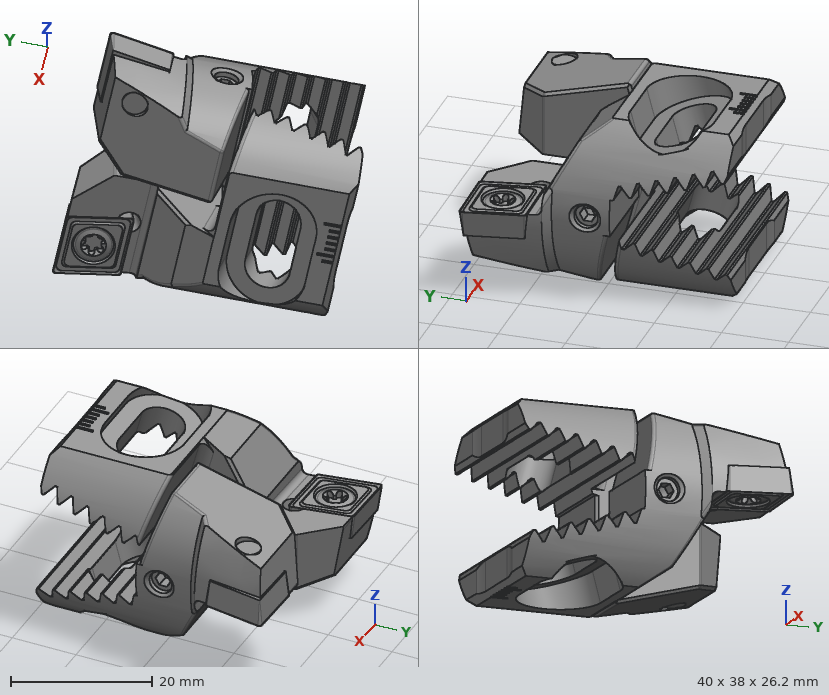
import cadquery as cq
import math


HEIGHT = 26.2
HALF_HEIGHT = HEIGHT / 2
BODY_RADIUS = 16.5
JAW_SHIFT = 1.6
FLARE_RADIUS = 17.65
NOSE_RADIUS = 19.15
SHOULDER_Y = 26.5
NOSE_Y = 37.8
FLARE_CHAMFER = FLARE_RADIUS - BODY_RADIUS

INNER_X = -2.35
BACK_Y = 16.75
LEDGE_Y = 17.15
LEDGE_Z = -2.4
TAPER_ANGLE = 15.0
TAPER_TAN = math.tan(math.radians(TAPER_ANGLE))
NOSE_DROP = 7.85
NOSE_RELIEF = 1.05
CORNER_CUT = 5.1
EDGE_CHAMFER = 0.45
EDGE_FILLET = 0.5
ROOT_FILLET = 1.85
RAMP_START_Y = 18.4
RAMP_KNEE = (22.4, 10.3)
RAMP_END_Z = 2.9
FLOOR_FILLET = 0.9

JAW_FRONT_Y = 18.55
JAW_FRONT_CHAMFER = 0.2
JAW_FOOT_Z = 3.95
JAW_END_CHAMFER = 1.1
TOOTH_DEPTH = 1.75
TOOTH_FLAT = 0.3
TOOTH_COUNT = 6
TOOTH_ROW_LENGTH = 16.5
TOOTH_PITCH = TOOTH_ROW_LENGTH / TOOTH_COUNT
FIRST_VALLEY = (15.55, 5.3)
END_Z = 8.5

SLOT_X = -3.35
SLOT_Y = 10.45
SLOT_STRAIGHT = 7.5
SLOT_DIAMETER = 6.65
SEAT_DIAMETER = 12.0
SEAT_DEPTH = 3.1
RECESS_X = -0.75
RECESS_WIDTH = 13.35
RECESS_FLOOR_WIDTH = 8.1
RECESS_DEPTH = 0.3
TICK_SPACING = 1.0
TICK_WIDTH = 0.3
TICK_DEPTH = 0.1
TICK_START_Y = 1.1
SHORT_TICK = 1.5
LONG_TICK = 2.5
FIRST_TICK_X = -3.0
LONG_TICKS = (1, 6)
TICK_COUNT = 7

RAKE_ANGLE = 2.0
TIP_X = -20.1
TIP_Y = 38.0
INSERT_WIDTH = 9.5
INSERT_THICKNESS = 3.95
INSERT_LEAN = 10.0
INSERT_RELIEF = 7.0
INSERT_CORNER = 0.4
INSERT_FOOT_CORNER = 0.05
EDGE_LAND = 0.1
GROOVE_START = 0.3
GROOVE_END = 0.95
GROOVE_DEPTH = 0.25
ISLAND_INSET = 1.25
ISLAND_CORNER = 0.8
INSERT_HOLE_RADIUS = 2.2
SEAT_CONE_RADIUS = 3.1
SEAT_CONE_DEPTH = 1.4
HEAD_BELOW = 0.35
CROWN_RADIUS = 2.55
CROWN_BELOW = 0.1
SOCKET_MOUTH_RADIUS = 1.8
SOCKET_MOUTH_DEPTH = 0.6
SHANK_RADIUS = 1.85
SCREW_LENGTH = 8.7
TORX_RADIUS = 1.15
TORX_LOBES = 6
TORX_LOBE_OFFSET = 1.3
TORX_LOBE_RADIUS = 0.45
TORX_DEPTH = 1.2
CORNER_RELIEF_X = 4.9
CORNER_RELIEF_Y = -4.1
CORNER_RELIEF_RADIUS = 1.65
CORNER_RELIEF_TIP_RADIUS = 0.8

SET_SCREW_Y = 20.4
SET_SCREW_RADIUS = 1.75
SET_SCREW_OUTER_X = -15.2
SET_SCREW_INNER_X = -1.9
SET_SCREW_CHAMFER = 0.25
MOUTH_RADIUS = 2.3
HEX_SIDES = 6
HEX_FLATS = 2.05
HEX_DEPTH = 2.0
HEX_POINT = 0.7

REACH = 24.0


def side_prism(points, x_start, x_end):
    """Extrude a closed (Y, Z) outline along X."""
    return cq.Workplane("YZ", origin=(x_start, 0, 0)).polyline(points).close().extrude(x_end - x_start)


def near(x, y, z):
    """Selector of the edge nearest to a point."""
    return cq.selectors.NearestToPointSelector((x, y, z))


def tooth_point(along, depth):
    """(Y, Z) of a point of the tooth row; depth is measured from the valleys towards the opening."""
    angle = math.radians(TAPER_ANGLE)
    y = FIRST_VALLEY[0] - along * math.cos(angle) - depth * math.sin(angle)
    z = FIRST_VALLEY[1] + along * math.sin(angle) - depth * math.cos(angle)
    return (y, z)


def tooth_row():
    """Tooth outline from the first tip to the last tip, at the open end of the jaw."""
    half_flat = TOOTH_FLAT / 2
    points = [tooth_point(half_flat - TOOTH_PITCH / 2, TOOTH_DEPTH)]
    for tooth in range(TOOTH_COUNT):
        valley = tooth * TOOTH_PITCH
        tip = valley + TOOTH_PITCH / 2
        points += [
            tooth_point(valley - half_flat, 0),
            tooth_point(valley + half_flat, 0),
            tooth_point(tip - half_flat, TOOTH_DEPTH),
            tooth_point(tip + half_flat, TOOTH_DEPTH),
        ]
    return points


def tip_line_z(y):
    """Height of the line through the tooth tips."""
    tip_y, tip_z = tooth_point(0, TOOTH_DEPTH)
    return tip_z + (tip_y - y) * TAPER_TAN


END_OUTLINE = [(0, END_Z), (0, HALF_HEIGHT - JAW_END_CHAMFER), (JAW_END_CHAMFER, HALF_HEIGHT)]


def jaw_front(z):
    """Y of the slanted jaw front at a height."""
    return JAW_FRONT_Y - (HALF_HEIGHT - z) * TAPER_TAN


def free_jaw():
    """Part of the jaw that reaches across the other block's side."""
    teeth = tooth_row()
    outline = teeth + END_OUTLINE + [(REACH, HALF_HEIGHT), (REACH, teeth[0][1])]
    front_space = [
        (JAW_FRONT_Y - JAW_FRONT_CHAMFER, HALF_HEIGHT),
        (jaw_front(HALF_HEIGHT - JAW_FRONT_CHAMFER), HALF_HEIGHT - JAW_FRONT_CHAMFER),
        (jaw_front(0), 0),
        (REACH, 0),
        (REACH, HALF_HEIGHT),
    ]
    jaw = side_prism(outline, INNER_X, BODY_RADIUS).cut(side_prism(front_space, INNER_X, BODY_RADIUS))
    rounding = cq.Workplane("XZ", origin=(-JAW_SHIFT, 0, 0)).circle(BODY_RADIUS).extrude(-REACH)
    jaw = jaw.intersect(rounding)
    mid_z = (HALF_HEIGHT + JAW_FOOT_Z) / 2
    return jaw.edges(near(round_x(mid_z) - JAW_SHIFT, jaw_front(mid_z), mid_z)).fillet(EDGE_FILLET)


def revolved_outside():
    """Round outside of body and nose, turned about the Y axis."""
    return (
        cq.Workplane("XY")
        .polyline([
            (0, 0),
            (BODY_RADIUS, 0),
            (BODY_RADIUS, SHOULDER_Y - FLARE_CHAMFER),
            (FLARE_RADIUS, SHOULDER_Y),
            (NOSE_RADIUS, NOSE_Y),
            (0, NOSE_Y),
        ])
        .close()
        .revolve(360, (0, 0, 0), (0, 1, 0))
    )


def rake_z(x):
    """Height of the rake plane above the XY plane."""
    return (x - TIP_X) * math.tan(math.radians(RAKE_ANGLE))


RAMP_SLOPE = (RAMP_KNEE[1] - RAMP_END_Z) / (SHOULDER_Y - RAMP_KNEE[0])
FLARE_FOOT_Z = RAMP_END_Z + FLARE_CHAMFER * RAMP_SLOPE
NOSE_FOOT_Y = NOSE_Y - NOSE_RELIEF
HEEL_Z = (-NOSE_DROP + (LEDGE_Y - NOSE_FOOT_Y) * TAPER_TAN + LEDGE_Z * TAPER_TAN**2) / (1 + TAPER_TAN**2)
FLARE_HEEL_Z = -NOSE_DROP - (NOSE_FOOT_Y - SHOULDER_Y + FLARE_CHAMFER) * TAPER_TAN
HEEL_Y = LEDGE_Y + (LEDGE_Z - HEEL_Z) * TAPER_TAN


def block():
    """Nose block together with the part of the jaw that grows out of it."""
    outline = [(BACK_Y, tip_line_z(BACK_Y))] + tooth_row() + END_OUTLINE + [
        (RAMP_START_Y, HALF_HEIGHT),
        RAMP_KNEE,
        (SHOULDER_Y, RAMP_END_Z),
        (NOSE_Y, RAMP_END_Z),
        (NOSE_Y, 0),
        (NOSE_FOOT_Y, -NOSE_DROP),
        (HEEL_Y, HEEL_Z),
        (LEDGE_Y, LEDGE_Z),
        (BACK_Y, LEDGE_Z),
    ]
    solid = side_prism(outline, TIP_X, INNER_X)
    corner = (
        cq.Workplane("XY")
        .polyline([(INNER_X, NOSE_Y), (INNER_X - CORNER_CUT, NOSE_Y), (INNER_X, NOSE_Y - CORNER_CUT)])
        .close()
        .extrude(REACH, both=True)
    )
    solid = solid.cut(corner).cut(rake_space())
    solid = solid.edges(near(INNER_X, NOSE_Y - CORNER_CUT, LEDGE_Z)).fillet(EDGE_CHAMFER)
    heel_mid = ((HEEL_Y + NOSE_FOOT_Y) / 2, (HEEL_Z - NOSE_DROP) / 2)
    back_mid = ((HEEL_Y + LEDGE_Y) / 2, (HEEL_Z + LEDGE_Z) / 2)
    ramp_mid = ((RAMP_KNEE[0] + SHOULDER_Y) / 2, (RAMP_KNEE[1] + RAMP_END_Z) / 2)
    for y, z in (heel_mid, back_mid, ramp_mid, (BACK_Y, 0)):
        solid = solid.edges(near(INNER_X, y, z)).chamfer(EDGE_CHAMFER)
    solid = solid.intersect(revolved_outside())
    heel_half_width = round_x(HEEL_Z)
    rounded_edges = [
        round_edge(solid, RAMP_START_Y, HALF_HEIGHT, *RAMP_KNEE),
        round_edge(solid, *RAMP_KNEE, SHOULDER_Y - FLARE_CHAMFER, FLARE_FOOT_Z),
        round_edge(solid, SHOULDER_Y - FLARE_CHAMFER, FLARE_FOOT_Z, SHOULDER_Y, RAMP_END_Z),
        round_edge(solid, LEDGE_Y, LEDGE_Z, HEEL_Y, HEEL_Z),
        round_edge(solid, HEEL_Y, HEEL_Z, SHOULDER_Y - FLARE_CHAMFER, FLARE_HEEL_Z),
        round_edge(solid, SHOULDER_Y - FLARE_CHAMFER, FLARE_HEEL_Z, SHOULDER_Y, FLARE_HEEL_Z),
        solid.edges(near((INNER_X - heel_half_width) / 2, HEEL_Y, HEEL_Z)).val(),
    ]
    return solid.newObject(rounded_edges).fillet(EDGE_FILLET)


def round_x(z):
    """Distance of the round outside from the YZ plane at a height."""
    return math.sqrt(BODY_RADIUS**2 - z**2)


def round_edge(solid, y_start, z_start, y_end, z_end):
    """Edge on the round outside whose side outline runs between two points."""
    z = (z_start + z_end) / 2
    return solid.edges(near(-round_x(z), (y_start + y_end) / 2, z)).val()


def rake_space():
    """Space above the rake plane, ending at the shoulder with a filleted foot."""
    outer_x = -REACH
    space = (
        cq.Workplane("XZ", origin=(0, SHOULDER_Y, 0))
        .polyline([(outer_x, rake_z(outer_x)), (0, rake_z(0)), (0, REACH), (outer_x, REACH)])
        .close()
        .extrude(-REACH)
    )
    return space.edges(near(outer_x / 2, SHOULDER_Y, rake_z(outer_x / 2))).fillet(FLOOR_FILLET)


def rake_plane(depth=0.0):
    """Plane on the insert face, centred on the insert; depth goes down along the screw."""
    side_shift = INSERT_WIDTH / 2 * math.tan(math.radians(INSERT_LEAN))
    half_edge = INSERT_WIDTH / 2 / math.cos(math.radians(INSERT_LEAN))
    angle = math.radians(RAKE_ANGLE)
    along = side_shift + half_edge
    return cq.Plane(
        origin=(
            TIP_X + along * math.cos(angle) + depth * math.sin(angle),
            TIP_Y - INSERT_WIDTH / 2,
            along * math.sin(angle) - depth * math.cos(angle),
        ),
        xDir=(math.cos(angle), 0, math.sin(angle)),
        normal=(-math.sin(angle), 0, math.cos(angle)),
    )


def rhombus(inset, corner):
    """Insert outline moved inwards by inset, with rounded corners."""
    half_width = INSERT_WIDTH / 2 - inset
    lean = math.radians(INSERT_LEAN)
    shift = half_width * math.tan(lean)
    half_edge = half_width / math.cos(lean)
    corners = [
        (-shift - half_edge, half_width),
        (-shift + half_edge, half_width),
        (shift + half_edge, -half_width),
        (shift - half_edge, -half_width),
    ]
    return cq.Sketch().polygon(corners + corners[:1]).vertices().fillet(corner)


def rhombus_loft(upper, upper_depth, lower, lower_depth):
    """Solid between two rhombic outlines at two depths below the insert face."""
    drop = lower_depth - upper_depth
    return (
        cq.Workplane(rake_plane(upper_depth))
        .placeSketch(upper, lower.moved(cq.Location(cq.Vector(0, 0, -drop))))
        .loft()
    )


def round_cutter(top_radius, bottom_radius, depth_start, depth_end):
    """Cone or cylinder on the screw axis between two depths."""
    return (
        cq.Workplane(rake_plane(depth_start))
        .circle(top_radius)
        .workplane(offset=depth_start - depth_end)
        .circle(bottom_radius)
        .loft()
    )


def insert_blank():
    """Rhombic insert with relief on all sides."""
    relief = INSERT_THICKNESS * math.tan(math.radians(INSERT_RELIEF))
    return rhombus_loft(
        rhombus(0, INSERT_CORNER), 0, rhombus(relief, INSERT_FOOT_CORNER), INSERT_THICKNESS
    )


def chip_groove():
    """Ring groove inside the cutting edges, around a flat island."""
    pan = rhombus_loft(
        rhombus(EDGE_LAND, INSERT_CORNER), 0, rhombus(GROOVE_START, ISLAND_CORNER), GROOVE_DEPTH
    )
    island = rhombus_loft(
        rhombus(ISLAND_INSET, ISLAND_CORNER), 0, rhombus(GROOVE_END, ISLAND_CORNER), GROOVE_DEPTH
    )
    return pan.cut(island)


def cutting_insert():
    """Insert with chip groove and a conical seat for the screw."""
    hole = round_cutter(INSERT_HOLE_RADIUS, INSERT_HOLE_RADIUS, 0, INSERT_THICKNESS)
    seat = round_cutter(SEAT_CONE_RADIUS, INSERT_HOLE_RADIUS, 0, SEAT_CONE_DEPTH)
    return insert_blank().cut(chip_groove()).cut(hole).cut(seat)


def insert_screw():
    """Clamping screw with a six-lobed socket."""
    slope = (SEAT_CONE_RADIUS - INSERT_HOLE_RADIUS) / SEAT_CONE_DEPTH
    head_radius = SEAT_CONE_RADIUS - slope * HEAD_BELOW
    head = round_cutter(head_radius, INSERT_HOLE_RADIUS, HEAD_BELOW, SEAT_CONE_DEPTH)
    crown = round_cutter(SOCKET_MOUTH_RADIUS, CROWN_RADIUS, CROWN_BELOW, HEAD_BELOW)
    shank = round_cutter(SHANK_RADIUS, SHANK_RADIUS, SEAT_CONE_DEPTH, SCREW_LENGTH)
    socket_end = CROWN_BELOW + TORX_DEPTH
    mouth = round_cutter(SOCKET_MOUTH_RADIUS, TORX_RADIUS, CROWN_BELOW, CROWN_BELOW + SOCKET_MOUTH_DEPTH)
    socket = round_cutter(TORX_RADIUS, TORX_RADIUS, CROWN_BELOW, socket_end)
    lobes = (
        cq.Workplane(rake_plane(CROWN_BELOW))
        .polarArray(TORX_LOBE_OFFSET, 0, 360, TORX_LOBES)
        .circle(TORX_LOBE_RADIUS)
        .extrude(-TORX_DEPTH)
    )
    return head.union(crown).union(shank).cut(mouth).cut(socket).cut(lobes)


def insert_pocket():
    """Insert seat with its corner relief and threaded hole."""
    pocket = insert_blank()
    relief = (
        cq.Workplane(rake_plane())
        .center(CORNER_RELIEF_X, CORNER_RELIEF_Y)
        .circle(CORNER_RELIEF_RADIUS)
        .workplane(offset=-INSERT_THICKNESS)
        .circle(CORNER_RELIEF_TIP_RADIUS)
        .loft()
    )
    thread = round_cutter(SHANK_RADIUS, SHANK_RADIUS, 0, REACH)
    return pocket.union(relief).union(thread)


def jaw_slot():
    """Counterbored slot square to the tooth row."""
    angle = math.radians(TAPER_ANGLE)
    plane = cq.Plane(
        origin=(SLOT_X, SLOT_Y, HALF_HEIGHT), xDir=(1, 0, 0), normal=(0, math.sin(angle), math.cos(angle))
    )
    seat = (
        cq.Workplane(plane)
        .workplane(offset=SEAT_DEPTH)
        .slot2D(SLOT_STRAIGHT + SEAT_DIAMETER, SEAT_DIAMETER)
        .extrude(-2 * SEAT_DEPTH)
    )
    through = cq.Workplane(plane).slot2D(SLOT_STRAIGHT + SLOT_DIAMETER, SLOT_DIAMETER).extrude(-HALF_HEIGHT)
    return seat.union(through)


def end_recess():
    """Shallow recess in the jaw end whose floor runs out in arcs on both sides."""
    half = RECESS_WIDTH / 2
    flat = RECESS_FLOOR_WIDTH / 2
    run = half - flat
    radius = (run**2 + RECESS_DEPTH**2) / (2 * RECESS_DEPTH)
    mid_x = radius * math.sin(math.asin(run / radius) / 2)
    mid_y = RECESS_DEPTH - radius + math.sqrt(radius**2 - mid_x**2)
    return (
        cq.Workplane("XY", origin=(RECESS_X, 0, 0))
        .moveTo(-half, 0)
        .threePointArc((-flat - mid_x, mid_y), (-flat, RECESS_DEPTH))
        .lineTo(flat, RECESS_DEPTH)
        .threePointArc((flat + mid_x, mid_y), (half, 0))
        .close()
        .extrude(REACH)
    )


def graduation():
    """Engraved scale ticks on the flat outer face."""
    ticks = cq.Workplane("XY")
    for tick in range(TICK_COUNT):
        length = LONG_TICK if tick in LONG_TICKS else SHORT_TICK
        ticks = ticks.union(
            cq.Workplane("XY", origin=(FIRST_TICK_X + tick * TICK_SPACING, TICK_START_Y, HALF_HEIGHT))
            .box(TICK_WIDTH, length, 2 * TICK_DEPTH, centered=(True, False, True))
        )
    return ticks


def set_screw_hole():
    """Hole through the block with a conical mouth."""
    depth = MOUTH_RADIUS - SET_SCREW_RADIUS
    hole = cq.Workplane("YZ", origin=(-REACH, SET_SCREW_Y, 0)).circle(SET_SCREW_RADIUS).extrude(REACH)
    mouth = (
        cq.Workplane("YZ", origin=(-BODY_RADIUS, SET_SCREW_Y, 0)).circle(MOUTH_RADIUS)
        .workplane(offset=depth).circle(SET_SCREW_RADIUS).loft()
    )
    return hole.union(mouth)


def set_screw():
    """Screw whose end stands proud of the inner wall."""
    screw = (
        cq.Workplane("YZ", origin=(SET_SCREW_OUTER_X, SET_SCREW_Y, 0))
        .circle(SET_SCREW_RADIUS)
        .extrude(SET_SCREW_INNER_X - SET_SCREW_OUTER_X)
        .faces(">X").chamfer(SET_SCREW_CHAMFER)
    )
    hex_radius = HEX_FLATS / math.sqrt(3)
    socket = (
        cq.Workplane("YZ", origin=(SET_SCREW_OUTER_X, SET_SCREW_Y, 0))
        .polygon(HEX_SIDES, 2 * hex_radius)
        .extrude(HEX_DEPTH + HEX_POINT)
    )
    drilled = (
        cq.Workplane("XY", origin=(SET_SCREW_OUTER_X, SET_SCREW_Y, 0))
        .polyline([(0, 0), (0, hex_radius), (HEX_DEPTH, hex_radius), (HEX_DEPTH + HEX_POINT, 0)])
        .close()
        .revolve(360, (0, 0, 0), (1, 0, 0))
    )
    socket = socket.intersect(drilled)
    return screw.cut(socket)


def holder():
    """Block and jaw in one piece, with all cuts."""
    body = block().union(free_jaw())
    root_z = HALF_HEIGHT / 2
    body = body.edges(near(INNER_X, jaw_front(root_z), root_z)).fillet(ROOT_FILLET)
    below_jaw = cq.Workplane("XY", origin=(INNER_X, jaw_front(0), 0))
    body = body.cut(below_jaw.box(REACH, REACH, JAW_FOOT_Z, centered=False))
    for cutter in (jaw_slot(), end_recess(), graduation(), set_screw_hole(), insert_pocket()):
        body = body.cut(cutter)
    return body


def both_sides(body):
    """The body and its copy turned half a turn about the Y axis."""
    solid = body.solids().val()
    return [solid, solid.rotate((0, 0, 0), (0, 1, 0), 180)]


bodies = []
for part in (holder(), cutting_insert(), insert_screw(), set_screw()):
    bodies += both_sides(part)
result = cq.Compound.makeCompound(bodies)